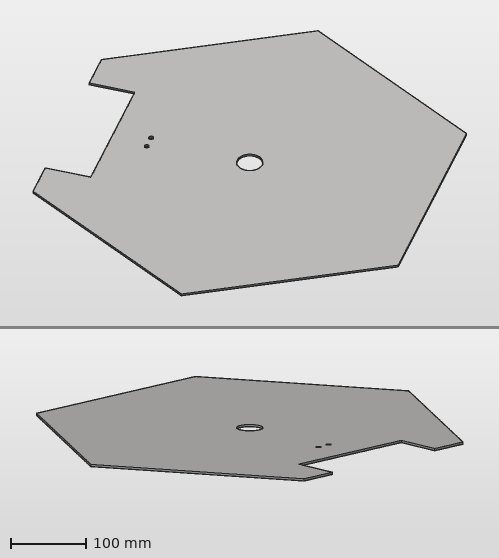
import cadquery as cq
import math

corner_diameter = 589.0
flat_width = corner_diameter * math.cos(math.radians(30))
thickness = 3.2

notch_depth = 63.5
notch_width = 190.0

center_hole_diameter = 35.0
small_hole_diameter = 6.5
small_hole_x = -141.0
small_hole_spacing = 19.0


def hexagonal_plate():
    return (
        cq.Workplane("XY")
        .transformed(rotate=(0, 0, 90))
        .polygon(6, corner_diameter)
        .extrude(thickness)
    )


def edge_notch():
    return (
        cq.Workplane("XY")
        .center(-flat_width / 2, 0)
        .rect(2 * notch_depth, notch_width)
        .extrude(thickness)
    )


def through_holes():
    center_hole = cq.Workplane("XY").circle(center_hole_diameter / 2).extrude(thickness)
    small_holes = (
        cq.Workplane("XY")
        .center(small_hole_x, 0)
        .rarray(6, small_hole_spacing, 1, 2)
        .circle(small_hole_diameter / 2)
        .extrude(thickness)
    )
    return center_hole.union(small_holes)


result = hexagonal_plate().cut(edge_notch()).cut(through_holes())